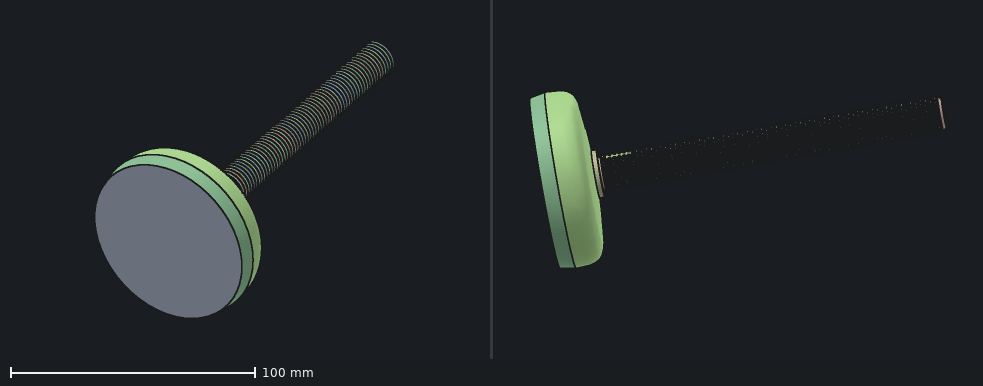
import cadquery as cq

overall_length = 166.0

foot_diameter = 73.5
pad_base_diameter = 71.0
pad_height = 6.6
cap_top_height = 21.0
cap_side_diameter = 72.4
cap_side_height = 13.6
cap_shoulder_diameter = 69.4
cap_shoulder_height = 16.8
cap_brow_diameter = 62.4
cap_brow_height = 19.0
cap_dome_diameter = 39.8
cap_dome_height = 20.5
cap_side_direction = (-0.03, 1)
cap_seat_direction = (-1, 0.06)

collar_diameter = 20.0
collar_height = 2.2

thread_diameter = 16.0
root_diameter = 13.6
thread_length = 142.0
thread_count = 71
crest_share = 1 / 8
root_share = 1 / 4
tip_diameter = 12.0
tip_chamfer_height = 2.0

flat_width = 13.0
flat_bottom = 26.2
flat_top = 37.4
flat_end_slope_length = 2.5

foot_radius = foot_diameter / 2
collar_radius = collar_diameter / 2
thread_radius = thread_diameter / 2
root_radius = root_diameter / 2
pitch = thread_length / thread_count
stud_bottom = cap_top_height + collar_height
thread_bottom = overall_length - thread_length


def revolve_about_y(profile):
    """Turn a closed half profile in the XY plane fully round the Y axis."""
    return profile.close().revolve(360, (0, 0, 0), (0, 1, 0))


def make_pad():
    return revolve_about_y(
        cq.Workplane("XY")
        .lineTo(pad_base_diameter / 2, 0)
        .lineTo(foot_radius, pad_height)
        .lineTo(0, pad_height)
    )


def make_cap():
    """Domed cap whose smooth side curls over into a flat seat for the collar."""
    return revolve_about_y(
        cq.Workplane("XY")
        .moveTo(0, pad_height)
        .lineTo(foot_radius, pad_height)
        .spline(
            [
                (cap_side_diameter / 2, cap_side_height),
                (cap_shoulder_diameter / 2, cap_shoulder_height),
                (cap_brow_diameter / 2, cap_brow_height),
                (cap_dome_diameter / 2, cap_dome_height),
                (collar_radius, cap_top_height),
            ],
            tangents=[cap_side_direction, cap_seat_direction],
            includeCurrent=True,
        )
        .lineTo(0, cap_top_height)
    )


def make_collar():
    return revolve_about_y(
        cq.Workplane("XY")
        .moveTo(0, cap_top_height)
        .lineTo(collar_radius, cap_top_height)
        .lineTo(collar_radius, stud_bottom)
        .lineTo(0, stud_bottom)
    )


def make_threaded_rod():
    """Rod whose thread is a row of equal rings, each centred in one pitch."""
    half_crest = pitch * crest_share / 2
    half_root = pitch * root_share / 2
    profile = cq.Workplane("XY").moveTo(0, stud_bottom).lineTo(root_radius, stud_bottom)
    for ring in range(thread_count):
        ring_start = thread_bottom + ring * pitch
        ring_middle = ring_start + pitch / 2
        profile = (
            profile.lineTo(root_radius, ring_start + half_root)
            .lineTo(thread_radius, ring_middle - half_crest)
            .lineTo(thread_radius, ring_middle + half_crest)
            .lineTo(root_radius, ring_start + pitch - half_root)
        )
    return revolve_about_y(profile.lineTo(root_radius, overall_length).lineTo(0, overall_length))


def make_tip_envelope():
    """Cylinder with a bevelled end that trims the tip of the rod."""
    return revolve_about_y(
        cq.Workplane("XY")
        .moveTo(0, stud_bottom)
        .lineTo(thread_radius, stud_bottom)
        .lineTo(thread_radius, overall_length - tip_chamfer_height)
        .lineTo(tip_diameter / 2, overall_length)
        .lineTo(0, overall_length)
    )


def make_flat_cutter():
    """Trapezoidal block that cuts the wrench flat on the +X side."""
    return (
        cq.Workplane("XY")
        .moveTo(flat_width / 2, flat_bottom)
        .lineTo(flat_width / 2, flat_top)
        .lineTo(thread_radius, flat_top + flat_end_slope_length)
        .lineTo(thread_radius, flat_bottom - flat_end_slope_length)
        .close()
        .extrude(thread_radius, both=True)
    )


def make_stud():
    stud = make_threaded_rod().intersect(make_tip_envelope())
    flat_cutter = make_flat_cutter()
    return stud.cut(flat_cutter).cut(flat_cutter.mirror("YZ"))


pad = make_pad()
cap = make_cap()
collar = make_collar()
stud = make_stud()

result = cq.Compound.makeCompound([pad.val(), cap.val(), collar.val(), *stud.vals()])